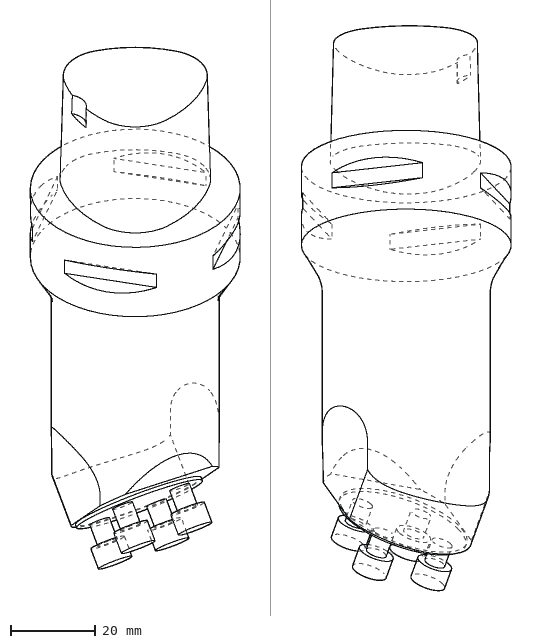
import cadquery as cq
import math

TOTAL_HEIGHT = 135.7

SHANK_HEIGHT = 30.0
TAPER_PER_SIDE = SHANK_HEIGHT / 40
LOBE_REACH = 18.9
FLAT_REACH = 16.3
LOBE_OFFSET = 7.2
KEY_DEPTH = 5.3
KEY_RADIUS = 4.9
KEY_FLOOR_REACH = 14.1

FLANGE_RADIUS = 50.0 / 2
FLANGE_HEIGHT = 20.0
BODY_RADIUS = 40.0 / 2
NECK_ANGLE = math.radians(30)
NECK_FILLET = 12.8

GROOVE_FLOOR_REACH = 22.3
GROOVE_FLOOR_WIDTH = 3.8
GROOVE_ANGLE = math.radians(30)

HEAD_DIAMETER = 8.5
SCREW_DIAMETER = 5.0
SCREW_SPACING = 15.6
HEAD_START = 6.2
SCREW_LENGTH = 11.4
SEAT_X = 1.5
SEAT_ENVELOPE_RADIUS = 17.1
DISC_DIAMETER = 32.0
DISC_THICKNESS = 0.8

POCKET_REACH = 16.3
POCKET_RADIUS = 20.0
POCKET_FLAT_TOP = -76.3
RELIEF_TOP = -65.0
RELIEF_ANGLE = math.radians(22.5)

CLEARANCE = 81.4
BOTTOM = SHANK_HEIGHT - TOTAL_HEIGHT
COS_45 = math.cos(math.radians(45))

SEAT_Z = BOTTOM + COS_45 * (SCREW_LENGTH + SCREW_SPACING / 2 + HEAD_DIAMETER / 2)
SEAT = cq.Plane(origin=(SEAT_X, 0, SEAT_Z), xDir=(0, 1, 0), normal=(1, 0, -1))


def polar(radius, degrees):
    angle = math.radians(degrees)
    return radius * math.cos(angle), radius * math.sin(angle)


def lobed_outline(plane, inset):
    """Six tangent arcs: three tight lobes, one toward +Y, and three shallow sides."""
    lobe_radius = LOBE_REACH - LOBE_OFFSET
    gap = FLAT_REACH - lobe_radius
    side_offset = (LOBE_OFFSET**2 - gap**2) / (2 * gap - LOBE_OFFSET)
    side_radius = FLAT_REACH + side_offset
    lobe_x, lobe_y = polar(LOBE_OFFSET, 60)
    turn = math.atan2(lobe_y, lobe_x + side_offset)
    joint_x = (side_radius - inset) * math.cos(turn) - side_offset
    joint_y = (side_radius - inset) * math.sin(turn)
    joint_reach = math.hypot(joint_x, joint_y)
    joint_angle = math.degrees(math.atan2(joint_y, joint_x))

    outline = plane.moveTo(*polar(joint_reach, -90 - joint_angle))
    for side in (-90, 30, 150):
        outline = outline.threePointArc(
            polar(FLAT_REACH - inset, side), polar(joint_reach, side + joint_angle)
        )
        outline = outline.threePointArc(
            polar(LOBE_REACH - inset, side + 60), polar(joint_reach, side + 120 - joint_angle)
        )
    return outline.close()


def make_shank():
    base = lobed_outline(cq.Workplane("XY"), 0)
    top_plane = base.workplane(offset=SHANK_HEIGHT)
    shank = lobed_outline(top_plane, TAPER_PER_SIDE).loft(ruled=True)
    notch = (
        cq.Workplane("XY", origin=(0, -KEY_FLOOR_REACH - KEY_RADIUS, SHANK_HEIGHT))
        .circle(KEY_RADIUS)
        .extrude(-KEY_DEPTH)
    )
    return shank.cut(notch)


def make_flange():
    """Flange, conical neck and the concave blend down to the body."""
    blend_radius = BODY_RADIUS + NECK_FILLET * (1 - math.cos(NECK_ANGLE))
    cone_height = (FLANGE_RADIUS - blend_radius) / math.tan(NECK_ANGLE)
    cone_bottom = -FLANGE_HEIGHT - cone_height
    blend_bottom = cone_bottom - NECK_FILLET * math.sin(NECK_ANGLE)
    blend_middle = (
        BODY_RADIUS + NECK_FILLET * (1 - math.cos(NECK_ANGLE / 2)),
        blend_bottom + NECK_FILLET * math.sin(NECK_ANGLE / 2),
    )
    return (
        cq.Workplane("XZ")
        .lineTo(FLANGE_RADIUS, 0)
        .lineTo(FLANGE_RADIUS, -FLANGE_HEIGHT)
        .lineTo(blend_radius, cone_bottom)
        .threePointArc(blend_middle, (BODY_RADIUS, blend_bottom))
        .lineTo(0, blend_bottom)
        .close()
        .revolve(360, (0, 0), (0, 1))
    )


def make_groove(angle):
    """Straight groove with sloping flanks across the flange rim."""
    outer = FLANGE_RADIUS + 1.4
    floor_half = GROOVE_FLOOR_WIDTH / 2
    outer_half = floor_half + (outer - GROOVE_FLOOR_REACH) * math.tan(GROOVE_ANGLE)
    return (
        cq.Workplane("XZ", origin=(0, 0, -FLANGE_HEIGHT / 2))
        .polyline([
            (GROOVE_FLOOR_REACH, -floor_half),
            (outer, -outer_half),
            (outer, outer_half),
            (GROOVE_FLOOR_REACH, floor_half),
        ])
        .close()
        .extrude(FLANGE_RADIUS, both=True)
        .rotate((0, 0, 0), (0, 0, 1), angle)
    )


def make_pocket():
    """Flat on the -Y side that runs out upward through a concave arc."""
    outer_y = -POCKET_REACH - POCKET_RADIUS
    arc_middle = (outer_y + POCKET_RADIUS * COS_45, POCKET_FLAT_TOP + POCKET_RADIUS * COS_45)
    return (
        cq.Workplane("YZ", origin=(-CLEARANCE / 2, 0, 0))
        .moveTo(-POCKET_REACH, POCKET_FLAT_TOP)
        .threePointArc(arc_middle, (outer_y, POCKET_FLAT_TOP + POCKET_RADIUS))
        .lineTo(outer_y, POCKET_FLAT_TOP - CLEARANCE)
        .lineTo(-POCKET_REACH, POCKET_FLAT_TOP - CLEARANCE)
        .close()
        .extrude(CLEARANCE)
    )


def make_relief():
    """Wedge that slopes the +X side inward above the seat."""
    drop = RELIEF_TOP - BOTTOM
    return (
        cq.Workplane("XZ")
        .moveTo(BODY_RADIUS, RELIEF_TOP)
        .lineTo(BODY_RADIUS, BOTTOM)
        .lineTo(BODY_RADIUS - drop * math.tan(RELIEF_ANGLE), BOTTOM)
        .close()
        .extrude(CLEARANCE, both=True)
    )


def make_body():
    """Round body ending at the slanted seat, rounded about the seat axis on its lower side."""
    body = cq.Workplane("XY", origin=(0, 0, -FLANGE_HEIGHT)).circle(BODY_RADIUS).extrude(BOTTOM)
    lower_side = cq.Workplane(SEAT).circle(SEAT_ENVELOPE_RADIUS).extrude(-2 * CLEARANCE)
    upper_side = (
        cq.Workplane(SEAT)
        .rect(2 * CLEARANCE, 2 * CLEARANCE)
        .extrude(-2 * CLEARANCE)
        .translate(SEAT.yDir * CLEARANCE)
    )
    body = body.intersect(lower_side.union(upper_side))
    pocket = make_pocket()
    return body.cut(pocket).cut(pocket.mirror("XZ")).cut(make_relief())


def make_seat_parts():
    """Thin disc on the seat with four cap screws standing out of it."""
    disc = cq.Workplane(SEAT).circle(DISC_DIAMETER / 2).extrude(DISC_THICKNESS)
    screws = (
        cq.Workplane(SEAT)
        .rarray(SCREW_SPACING, SCREW_SPACING, 2, 2)
        .circle(SCREW_DIAMETER / 2)
        .extrude(SCREW_LENGTH)
    )
    heads = (
        cq.Workplane(SEAT)
        .workplane(offset=HEAD_START)
        .rarray(SCREW_SPACING, SCREW_SPACING, 2, 2)
        .circle(HEAD_DIAMETER / 2)
        .extrude(SCREW_LENGTH - HEAD_START)
    )
    return disc.union(screws).union(heads)


flange = make_flange()
for groove_angle in (45, 135, 225, 315):
    flange = flange.cut(make_groove(groove_angle))

result = make_shank().union(flange).union(make_body()).union(make_seat_parts())